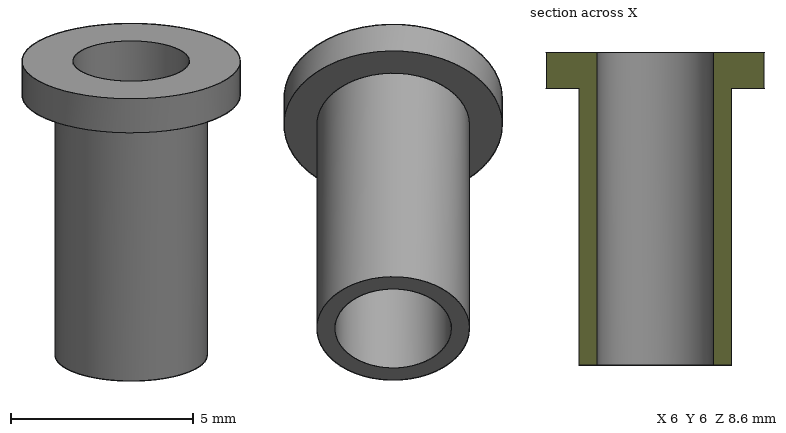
import cadquery as cq

total_height = 8.6
flange_diameter = 6.0
flange_thickness = 1.0
sleeve_diameter = 4.2
bore_diameter = 3.2

sleeve_height = total_height - flange_thickness

sleeve = cq.Workplane("XY").circle(sleeve_diameter / 2).extrude(sleeve_height)

bushing = sleeve.faces(">Z").workplane().circle(flange_diameter / 2).extrude(flange_thickness)

result = bushing.faces(">Z").workplane().circle(bore_diameter / 2).cutThruAll()